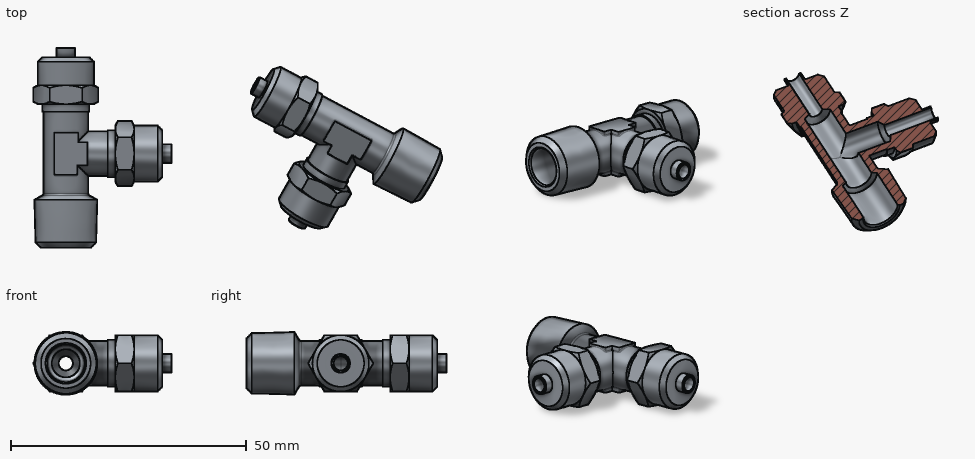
import cadquery as cq
import math


body_radius = 4.75
body_bore_radius = 2.98
barb_bore_radius = 1.5
drill_half_angle = 60.0

collar_start = 8.9
collar_radius = 5.0
hex_start = 10.5
hex_end = 14.5
hex_across_flats = 12.0
hex_sides = 6
hex_chamfer_angle = 30.0
nut_end = 20.5
nut_chamfer = 1.0
barb_end = 22.5
barb_radius = 2.0
barb_chamfer = 0.13

thread_end = 20.0
thread_length = 10.2
thread_major_diameter = 13.4
thread_small_radius = 6.45
thread_chamfer = 1.2
shoulder_half_angle = 60.0
shoulder_fillet = 0.5
mouth_radius = 4.35
thread_bore_radius = 4.0

pad_left = 2.42
pad_right = 4.6
pad_half_length = 4.45
pad_arm_half_width = 2.42
pad_step_back = 2.6
pad_step_front = 2.4
pad_top = 5.0
pad_corner_radius = 0.13
pad_base_fillet = 0.2

hex_flat_radius = hex_across_flats / 2
hex_corner_radius = hex_flat_radius / math.cos(math.pi / hex_sides)
drill_slope = math.tan(math.radians(drill_half_angle))
thread_start = thread_end - thread_length
thread_major_radius = thread_major_diameter / 2
shoulder_length = (thread_major_radius - body_radius) / math.tan(math.radians(shoulder_half_angle))
neck_end = thread_start - shoulder_length
shoulder_tangent = shoulder_fillet * math.tan(math.radians(shoulder_half_angle / 2))
tube_end = neck_end - shoulder_tangent


def revolve_profile(points):
    """Turn (radius, distance) points around the Y axis."""
    return cq.Workplane("XY").polyline(points).close().revolve(360, (0, 0, 0), (0, 1, 0))


def along_branch(solid):
    """Swing a solid built along +Y onto +X, keeping its Z direction."""
    return solid.rotate((0, 0, 0), (0, 0, 1), -90)


def hex_ring():
    """Hexagon with flats facing +Z and -Z and both ends chamfered to the flats."""
    length = hex_end - hex_start
    prism = (
        cq.Workplane("XZ", origin=(0, hex_end, 0))
        .polygon(hex_sides, 2 * hex_corner_radius)
        .extrude(length)
    )
    radial = hex_corner_radius - hex_flat_radius
    axial = radial * math.tan(math.radians(hex_chamfer_angle))
    envelope = revolve_profile([
        (0, hex_start),
        (hex_flat_radius, hex_start),
        (hex_corner_radius, hex_start + axial),
        (hex_corner_radius, hex_end - axial),
        (hex_flat_radius, hex_end),
        (0, hex_end),
    ])
    return prism.intersect(envelope)


def nut_arm(tube_start):
    """Tube, collar, hexagon, nut and barb, from tube_start on the Y axis towards +Y."""
    turned = revolve_profile([
        (0, tube_start),
        (body_radius, tube_start),
        (body_radius, collar_start),
        (collar_radius, collar_start),
        (collar_radius, hex_start),
        (hex_flat_radius, hex_start),
        (hex_flat_radius, nut_end - nut_chamfer),
        (hex_flat_radius - nut_chamfer, nut_end),
        (barb_radius, nut_end),
        (barb_radius, barb_end - barb_chamfer),
        (barb_radius - barb_chamfer, barb_end),
        (0, barb_end),
    ])
    return turned.union(hex_ring())


def nut_arm_bore():
    """Body bore, ending in a drill cone at the hexagon, then the narrow barb bore."""
    cone_length = (body_bore_radius - barb_bore_radius) / drill_slope
    return revolve_profile([
        (0, 0),
        (body_bore_radius, 0),
        (body_bore_radius, hex_start),
        (barb_bore_radius, hex_start + cone_length),
        (barb_bore_radius, barb_end),
        (0, barb_end),
    ])


def thread_arm():
    """Filleted shoulder and tapered thread blank, from the end of the tube towards -Y."""
    slope = math.radians(shoulder_half_angle)
    fillet_middle = (
        body_radius + shoulder_fillet * (1 - math.cos(slope / 2)),
        -(tube_end + shoulder_fillet * math.sin(slope / 2)),
    )
    fillet_end = (
        body_radius + shoulder_tangent * math.sin(slope),
        -(neck_end + shoulder_tangent * math.cos(slope)),
    )
    return (
        cq.Workplane("XY")
        .moveTo(0, -tube_end)
        .lineTo(body_radius, -tube_end)
        .threePointArc(fillet_middle, fillet_end)
        .lineTo(thread_major_radius, -thread_start)
        .lineTo(thread_small_radius, -(thread_end - thread_chamfer))
        .lineTo(thread_small_radius - thread_chamfer, -thread_end)
        .lineTo(0, -thread_end)
        .close()
        .revolve(360, (0, 0, 0), (0, 1, 0))
    )


def thread_arm_bore():
    """Chamfered mouth and wide thread bore, with a drill cone down to the body bore."""
    mouth_chamfer = mouth_radius - thread_bore_radius
    cone_length = (thread_bore_radius - body_bore_radius) / drill_slope
    return revolve_profile([
        (0, 0),
        (body_bore_radius, 0),
        (body_bore_radius, cone_length - thread_start),
        (thread_bore_radius, -thread_start),
        (thread_bore_radius, mouth_chamfer - thread_end),
        (mouth_radius, -thread_end),
        (0, -thread_end),
    ])


def pads():
    """T-shaped block whose two ends stand out of the tubes as flat pads, with rounded outer corners."""
    return (
        cq.Workplane("XY", origin=(0, 0, -pad_top))
        .moveTo(-pad_left, -pad_half_length)
        .lineTo(pad_step_front, -pad_half_length)
        .lineTo(pad_step_front, -pad_arm_half_width)
        .lineTo(pad_right, -pad_arm_half_width)
        .lineTo(pad_right, pad_arm_half_width)
        .lineTo(pad_step_back, pad_arm_half_width)
        .lineTo(pad_step_back, pad_half_length)
        .lineTo(-pad_left, pad_half_length)
        .close()
        .extrude(2 * pad_top)
        .edges("|Z and (<X or >X or <Y or >Y)")
        .fillet(pad_corner_radius)
    )


def fillet_pad_feet(solid):
    """Round the inside corners where the pad walls rise out of the tubes."""
    margin = 0.05
    below_top = pad_top - margin
    lowest_foot = math.sqrt(body_radius**2 - pad_step_back**2) - margin
    feet = []
    for edge in solid.edges().vals():
        box = edge.BoundingBox()
        over_pad = (
            box.xmin > -pad_left - margin
            and box.xmax < pad_right + margin
            and box.ymin > -pad_half_length - margin
            and box.ymax < pad_half_length + margin
        )
        heights = sorted([abs(box.zmin), abs(box.zmax)])
        if over_pad and lowest_foot < heights[0] and heights[1] < below_top:
            feet.append(edge)
    return solid.newObject(feet).fillet(pad_base_fillet)


run = nut_arm(-tube_end).union(thread_arm())
branch = along_branch(nut_arm(0))
body = fillet_pad_feet(run.union(branch).union(pads()))
bores = nut_arm_bore().union(thread_arm_bore()).union(along_branch(nut_arm_bore()))
result = body.cut(bores)